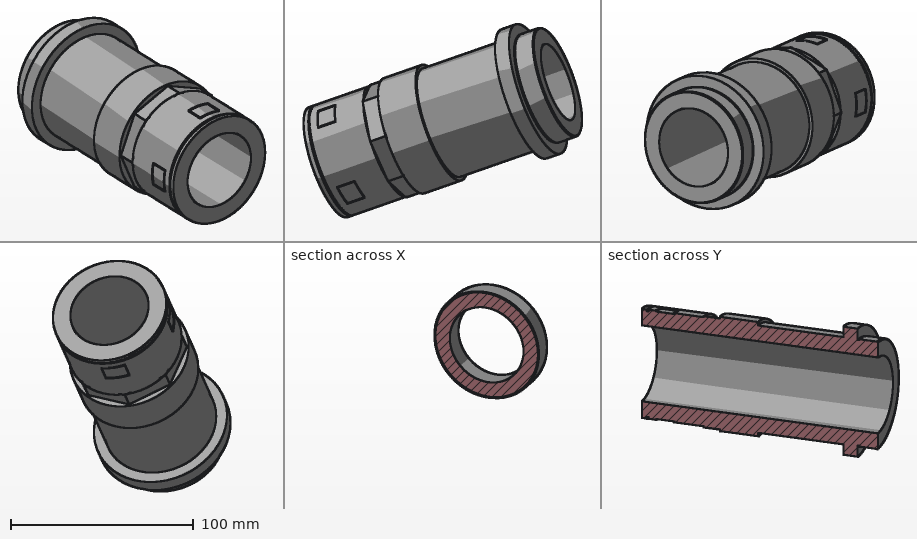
import cadquery as cq

LENGTH = 139.0
FLANGE_START = 12.0
FLANGE_END = 20.5
COLLAR_START = 70.5
COLLAR_END = 93.1
BARREL_START = 102.9
RIM_START = 136.1

BORE_DIAMETER = 44.0
BODY_DIAMETER = 63.0
FLANGE_DIAMETER = 75.0
COLLAR_DIAMETER = 67.0
BARREL_DIAMETER = 64.0
GROOVE_DIAMETER = 62.0

FRONT_CHAMFER = 0.49
GROOVE_WIDTH = 0.7

OCTAGON_SIDES = 8
OCTAGON_CORNER_DIAMETER = 65.0

WINDOW_START = 120.1
WINDOW_LENGTH = 10.4
WINDOW_WIDTH = 13.2
WINDOW_FLOOR_DIAMETER = BODY_DIAMETER


def cylinder(start, end, diameter):
    """Solid cylinder along X between two stations."""
    return cq.Workplane("YZ", origin=(start, 0, 0)).circle(diameter / 2).extrude(end - start)


def ring_groove(end):
    """Ring that cuts a narrow groove ending at the given station."""
    start = end - GROOVE_WIDTH
    return cylinder(start, end, FLANGE_DIAMETER).cut(cylinder(start, end, GROOVE_DIAMETER))


def octagon():
    """Eight-sided wrench section between collar and barrel."""
    return (
        cq.Workplane("YZ", origin=(COLLAR_END, 0, 0))
        .polygon(OCTAGON_SIDES, OCTAGON_CORNER_DIAMETER)
        .extrude(BARREL_START - COLLAR_END)
    )


def windows():
    """Cutter for four windows, on the +Y, -Y, +Z and -Z sides, with a round floor."""
    window_center = (WINDOW_START + WINDOW_LENGTH / 2, 0, 0)
    bars = cq.Workplane("XY", origin=window_center).box(WINDOW_LENGTH, FLANGE_DIAMETER, WINDOW_WIDTH)
    bars = bars.union(bars.rotate((0, 0, 0), (1, 0, 0), 90))
    return bars.cut(cylinder(WINDOW_START, WINDOW_START + WINDOW_LENGTH, WINDOW_FLOOR_DIAMETER))


result = cylinder(0, COLLAR_START, BODY_DIAMETER).faces("<X").chamfer(FRONT_CHAMFER)
result = result.union(cylinder(FLANGE_START, FLANGE_END, FLANGE_DIAMETER))
result = result.union(cylinder(COLLAR_START, COLLAR_END, COLLAR_DIAMETER))
result = result.union(octagon())
result = result.union(cylinder(BARREL_START, LENGTH, BARREL_DIAMETER))

for groove_end in (FLANGE_START, RIM_START):
    result = result.cut(ring_groove(groove_end))

result = result.cut(windows())

result = result.cut(cylinder(0, LENGTH, BORE_DIAMETER))